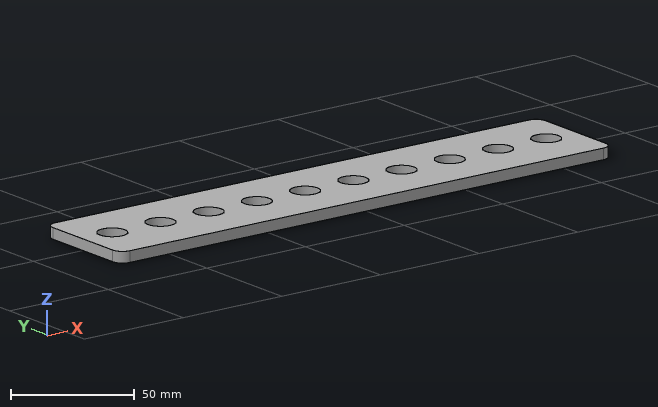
import cadquery as cq

length = 250.0
width = 50.0
thickness = 5.0
corner_radius = 5.0

hole_count = 10
hole_diameter = 12.5
end_margin = 15.0
hole_pitch = (length - 2 * end_margin) / (hole_count - 1)

plate = cq.Workplane("XY").box(length, width, thickness).edges("|Z").fillet(corner_radius)

result = (
    plate.faces(">Z")
    .workplane()
    .rarray(hole_pitch, width, hole_count, 1)
    .hole(hole_diameter)
)